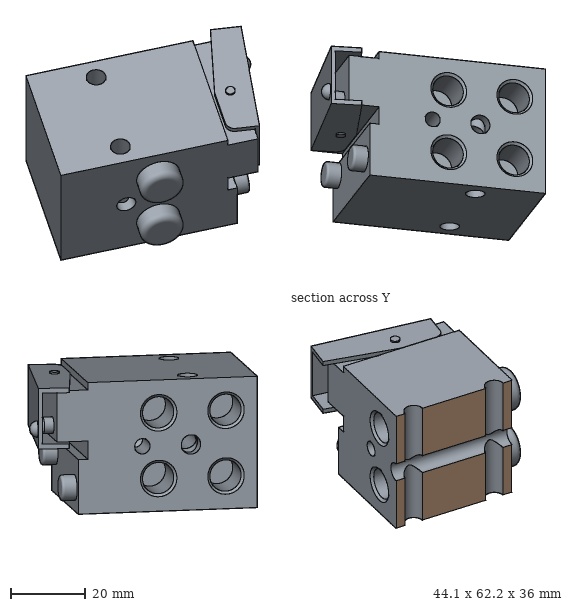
import cadquery as cq
import math

BLOCK_WIDTH = 36.0
BLOCK_HEIGHT = 36.0
MID_HEIGHT = BLOCK_HEIGHT / 2
MID_WIDTH = BLOCK_WIDTH / 2

SHOULDER_Y = 46.6
LEDGE_Y = 49.2
LEDGE_HEIGHT = 15.0
TONGUE_Y = 55.0
TONGUE_BOTTOM = 20.0
TONGUE_TOP = 34.0

PORT_DIAMETER = 8.57
PORT_MOUTH_DIAMETER = 10.0
PORT_DEPTH = 12.0
PORT_CHAMFER = (PORT_MOUTH_DIAMETER - PORT_DIAMETER) / 2
PORT_PITCH_Y = 18.5
REAR_PORT_Y = 27.12
FRONT_PORT_Y = REAR_PORT_Y - PORT_PITCH_Y
PORT_PITCH_Z = 18.0
PORT_HEIGHTS = [MID_HEIGHT - PORT_PITCH_Z / 2, MID_HEIGHT + PORT_PITCH_Z / 2]

FITTING_DIAMETER = 12.0
FITTING_LENGTH = 5.1
FITTING_ROUND = 1.7

MOUNT_DIAMETER = 5.3
MOUNT_Y = 18.1
MOUNT_PITCH_X = 25.0
CROSS_HOLE_Y = 18.25
PILOT_DIAMETER = 4.2
PILOT_DEPTH = 10.0
PILOT_TIP_ANGLE = 118.0
PILOT_Y = 31.6

STUD_DIAMETER = 7.0
STUD_LENGTH = 4.0
STUD_ROUND = 0.7
STUD_INSET = 5.0
STUD_PITCH_Z = 5.0
STUD_MID_HEIGHT = 9.0

LEVER_TILT = math.radians(7.0)
LEVER_LENGTH = 35.0
LEVER_END_DEPTH = 8.35
LEVER_TIP_X = -3.02
LEVER_TIP_Y = 52.3
LEVER_HEEL_Y = 47.65
LEVER_HEEL_X = 18.5
LEVER_HEEL_ROUND = 2.6
CHEEK_THICKNESS = 1.3
WEB_THICKNESS = 1.1

PIN_DIAMETER = 2.6
PIN_X = 19.1
PIN_Y = 51.85
PIN_OVERHANG = 0.45
BUTTON_DIAMETER = 4.5
BUTTON_X = 1.5
BUTTON_HEIGHT = 23.5
BUTTON_TOP_Y = 62.24
BUTTON_DOME_HEIGHT = BUTTON_DIAMETER / 2
BUTTON_STEM = 0.6
PLUNGER_X = 6.5
PLUNGER_SIDE_LENGTH = 2.6
PLUNGER_DOME_HEIGHT = 0.9

EMBED = 1.0


def box(x_range, y_range, z_range):
    """Box spanning the given (low, high) ranges."""
    size = [high - low for low, high in (x_range, y_range, z_range)]
    corner = (x_range[0], y_range[0], z_range[0])
    return cq.Workplane("XY").box(*size, centered=False).translate(corner)


def cylinder(diameter, length, start, direction):
    """Cylinder growing from the start point along the direction."""
    solid = cq.Solid.makeCylinder(diameter / 2, length, cq.Vector(*start), cq.Vector(*direction))
    return cq.Workplane(obj=solid)


def stepped_body():
    full_width = (0, BLOCK_WIDTH)
    main = box(full_width, (0, SHOULDER_Y), (0, BLOCK_HEIGHT))
    ledge = box(full_width, (0, LEDGE_Y), (0, LEDGE_HEIGHT))
    tongue = box(full_width, (0, TONGUE_Y), (TONGUE_BOTTOM, TONGUE_TOP))
    return main.union(ledge).union(tongue)


def port(y, z):
    """Blind port from the -X face with a chamfered mouth."""
    bore = cylinder(PORT_DIAMETER, PORT_DEPTH, (0, y, z), (1, 0, 0))
    mouth = cq.Solid.makeCone(
        PORT_MOUTH_DIAMETER / 2, PORT_DIAMETER / 2, PORT_CHAMFER, cq.Vector(0, y, z), cq.Vector(1, 0, 0)
    )
    return bore.union(cq.Workplane(obj=mouth))


def pilot_hole():
    """Blind drilled hole from the -X face with a conical bottom."""
    radius = PILOT_DIAMETER / 2
    tip_length = radius / math.tan(math.radians(PILOT_TIP_ANGLE / 2))
    start = (0, PILOT_Y, MID_HEIGHT)
    bore = cylinder(PILOT_DIAMETER, PILOT_DEPTH, start, (1, 0, 0))
    tip_start = cq.Vector(PILOT_DEPTH, PILOT_Y, MID_HEIGHT)
    tip = cq.Solid.makeCone(radius, 0, tip_length, tip_start, cq.Vector(1, 0, 0))
    return bore.union(cq.Workplane(obj=tip))


def fitting(z):
    """Round fitting standing on the +X face, in line with the rear ports."""
    start = (BLOCK_WIDTH - EMBED, REAR_PORT_Y, z)
    blank = cylinder(FITTING_DIAMETER, FITTING_LENGTH + EMBED, start, (1, 0, 0))
    return blank.faces(">X").edges().fillet(FITTING_ROUND)


def stud(x, z):
    """Round stud standing on the ledge face."""
    blank = cylinder(STUD_DIAMETER, STUD_LENGTH + EMBED, (x, LEDGE_Y - EMBED, z), (0, 1, 0))
    return blank.faces(">Y").edges().fillet(STUD_ROUND)


def lever_corner():
    """Outer corner where the lever's free end meets its web, as (x, y)."""
    x = LEVER_TIP_X + LEVER_END_DEPTH * math.sin(LEVER_TILT)
    y = LEVER_TIP_Y + LEVER_END_DEPTH * math.cos(LEVER_TILT)
    return x, y


def lever_point(along, below):
    """Point a distance along the lever from its outer corner and below its web face."""
    corner_x, corner_y = lever_corner()
    x = corner_x + along * math.cos(LEVER_TILT) - below * math.sin(LEVER_TILT)
    y = corner_y - along * math.sin(LEVER_TILT) - below * math.cos(LEVER_TILT)
    return x, y


def lever():
    bottom = TONGUE_BOTTOM - CHEEK_THICKNESS
    height = TONGUE_TOP - TONGUE_BOTTOM + 2 * CHEEK_THICKNESS
    far_corner = lever_point(LEVER_LENGTH, 0)
    heel_end_x = far_corner[0] - (far_corner[1] - LEVER_HEEL_Y) * math.tan(LEVER_TILT)
    outline = [
        lever_corner(),
        (LEVER_TIP_X, LEVER_TIP_Y),
        (LEVER_HEEL_X, LEVER_HEEL_Y),
        (heel_end_x, LEVER_HEEL_Y),
        far_corner,
    ]
    profile = cq.Workplane("XY").workplane(offset=bottom).polyline(outline).close().extrude(height)
    heel_edge = cq.selectors.NearestToPointSelector((heel_end_x, LEVER_HEEL_Y, bottom + height / 2))
    profile = profile.edges("|Z").edges(heel_edge).fillet(LEVER_HEEL_ROUND)

    channel_outline = [
        lever_point(-LEVER_LENGTH, WEB_THICKNESS),
        lever_point(2 * LEVER_LENGTH, WEB_THICKNESS),
        lever_point(2 * LEVER_LENGTH, LEVER_LENGTH),
        lever_point(-LEVER_LENGTH, LEVER_LENGTH),
    ]
    channel = (
        cq.Workplane("XY")
        .workplane(offset=TONGUE_BOTTOM)
        .polyline(channel_outline)
        .close()
        .extrude(TONGUE_TOP - TONGUE_BOTTOM)
    )
    return profile.cut(channel)


def pivot_pin():
    overhang = CHEEK_THICKNESS + PIN_OVERHANG
    length = TONGUE_TOP - TONGUE_BOTTOM + 2 * overhang
    return cylinder(PIN_DIAMETER, length, (PIN_X, PIN_Y, TONGUE_BOTTOM - overhang), (0, 0, 1))


def domed_cylinder(base, side_length, dome_height):
    """Round pin along +Y from the base point, closed by a spherical cap."""
    radius = BUTTON_DIAMETER / 2
    profile = (
        cq.Workplane("XY")
        .lineTo(radius, 0)
        .lineTo(radius, side_length)
        .radiusArc((0, side_length + dome_height), -cap_radius(radius, dome_height))
        .close()
    )
    return profile.revolve(360, (0, 0, 0), (0, 1, 0)).translate(base)


def cap_radius(base_radius, height):
    """Sphere radius of a cap with the given base radius and height."""
    return (base_radius**2 + height**2) / (2 * height)


def button():
    """Domed button whose stem is sunk into the lever's web."""
    base_y = BUTTON_TOP_Y - BUTTON_DOME_HEIGHT - BUTTON_STEM
    return domed_cylinder((BUTTON_X, base_y, BUTTON_HEIGHT), BUTTON_STEM, BUTTON_DOME_HEIGHT)


def plunger():
    """Domed plunger that rises from the tongue to the lever's web."""
    base = (PLUNGER_X, TONGUE_Y - EMBED, BUTTON_HEIGHT)
    return domed_cylinder(base, PLUNGER_SIDE_LENGTH + EMBED, PLUNGER_DOME_HEIGHT)


body = stepped_body()

for port_z in PORT_HEIGHTS:
    for port_y in (FRONT_PORT_Y, REAR_PORT_Y):
        body = body.cut(port(port_y, port_z))
    body = body.union(fitting(port_z))

for side in (-1, 1):
    mount_x = MID_WIDTH + side * MOUNT_PITCH_X / 2
    body = body.cut(cylinder(MOUNT_DIAMETER, BLOCK_HEIGHT, (mount_x, MOUNT_Y, 0), (0, 0, 1)))
    stud_x = MID_WIDTH + side * (MID_WIDTH - STUD_INSET)
    body = body.union(stud(stud_x, STUD_MID_HEIGHT + side * STUD_PITCH_Z / 2))

body = body.cut(cylinder(MOUNT_DIAMETER, BLOCK_WIDTH, (0, CROSS_HOLE_Y, MID_HEIGHT), (1, 0, 0)))
body = body.cut(pilot_hole())

for piece in (lever(), pivot_pin(), plunger(), button()):
    body = body.union(piece)

result = body